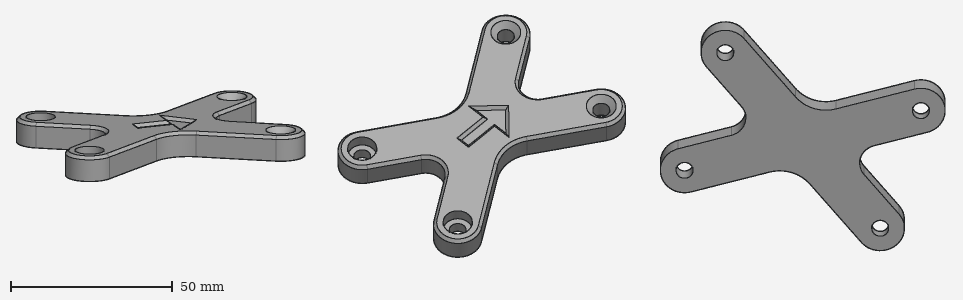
import cadquery as cq
import math

LENGTH_X = 56.25
LENGTH_Y = 78.48
THICKNESS = 8.0
EDGE_CHAMFER = 1.0

ARM_WIDTH = 15.0
END_RADIUS = ARM_WIDTH / 2
HOLE_X = LENGTH_X / 2 - END_RADIUS
HOLE_Y = LENGTH_Y / 2 - END_RADIUS
ARM_SPAN = 2 * math.hypot(HOLE_X, HOLE_Y)
ARM_ANGLE = math.degrees(math.atan2(HOLE_Y, HOLE_X))
NOTCH_RADIUS = 6.0
WAIST_RADIUS = 12.0

HOLE_DIAMETER = 5.25
COUNTERBORE_DIAMETER = 9.0
COUNTERBORE_DEPTH = 4.0
COUNTERSINK_DIAMETER = 9.25
COUNTERSINK_ANGLE = 90.0

ARROW_TIP_Y = 11.9
ARROW_HEAD_LENGTH = 8.8
ARROW_HEAD_WIDTH = 2 * ARROW_HEAD_LENGTH
ARROW_TAIL_Y = -8.4
ARROW_SHAFT_WIDTH = 5.0
ARROW_DEPTH = 1.0


def make_arm(angle):
    """Straight arm with round ends, turned by angle about the Z axis."""
    return (
        cq.Workplane("XY")
        .slot2D(ARM_SPAN + ARM_WIDTH, ARM_WIDTH, angle)
        .extrude(THICKNESS)
    )


def make_body():
    """Two crossed arms with rounded inner corners and a chamfered top rim."""
    body = make_arm(ARM_ANGLE).union(make_arm(-ARM_ANGLE))
    arm_angle = math.radians(ARM_ANGLE)
    waist_x = END_RADIUS / math.sin(arm_angle)
    notch_y = END_RADIUS / math.cos(arm_angle)
    mid_z = THICKNESS / 2
    nearest_edge = cq.selectors.NearestToPointSelector
    for side in (-1, 1):
        waist_point = (side * waist_x, 0, mid_z)
        notch_point = (0, side * notch_y, mid_z)
        body = body.edges(nearest_edge(waist_point)).fillet(WAIST_RADIUS)
        body = body.edges(nearest_edge(notch_point)).fillet(NOTCH_RADIUS)
    return body.faces(">Z").chamfer(EDGE_CHAMFER)


def cut_screw_holes(body):
    """Countersunk holes in the +Y arm ends, counterbored holes in the -Y arm ends."""
    countersunk_points = [(-HOLE_X, HOLE_Y), (HOLE_X, HOLE_Y)]
    counterbored_points = [(-HOLE_X, -HOLE_Y), (HOLE_X, -HOLE_Y)]
    body = (
        body.faces(">Z")
        .workplane(origin=(0, 0, THICKNESS))
        .pushPoints(countersunk_points)
        .cskHole(HOLE_DIAMETER, COUNTERSINK_DIAMETER, COUNTERSINK_ANGLE)
    )
    return (
        body.faces(">Z")
        .workplane(origin=(0, 0, THICKNESS))
        .pushPoints(counterbored_points)
        .cboreHole(HOLE_DIAMETER, COUNTERBORE_DIAMETER, COUNTERBORE_DEPTH)
    )


def arrow_outline(inset, z):
    """Closed arrow wire at height z, its sides moved inwards by inset."""
    half_head = ARROW_HEAD_WIDTH / 2
    half_tip_angle = math.atan2(half_head, ARROW_HEAD_LENGTH)
    tip_y = ARROW_TIP_Y - inset / math.sin(half_tip_angle)
    base_y = ARROW_TIP_Y - ARROW_HEAD_LENGTH + inset
    head_x = (tip_y - base_y) * math.tan(half_tip_angle)
    shaft_x = ARROW_SHAFT_WIDTH / 2 - inset
    tail_y = ARROW_TAIL_Y + inset
    points = [
        (0, tip_y),
        (-head_x, base_y),
        (-shaft_x, base_y),
        (-shaft_x, tail_y),
        (shaft_x, tail_y),
        (shaft_x, base_y),
        (head_x, base_y),
    ]
    return cq.Workplane("XY", origin=(0, 0, z)).polyline(points).close().val()


def make_arrow():
    """Arrow-shaped recess whose walls slope inwards at 45 degrees, with sharp corners."""
    floor = arrow_outline(ARROW_DEPTH, THICKNESS - ARROW_DEPTH)
    rim = arrow_outline(0, THICKNESS)
    return cq.Solid.makeLoft([floor, rim], True)


result = cut_screw_holes(make_body()).cut(make_arrow())